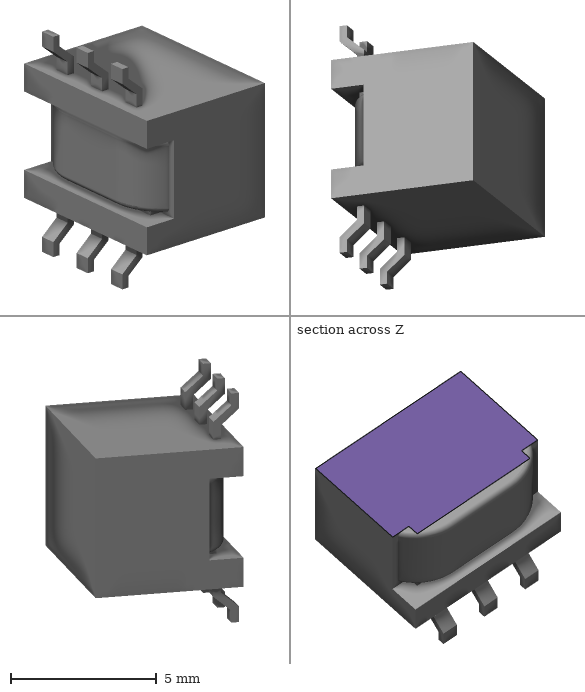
import cadquery as cq
import math

total_height = 8.2
total_depth = 5.4
body_width = 6.6
body_height = 5.0
core_depth = 4.05
flange_depth = 1.205
flange_thickness = 1.04

winding_width = 6.085
winding_flat_width = 2.69
winding_height = 2.69
winding_depth = 0.95
winding_edge_radius = 0.2

tube_width = 5.13
tube_depth = 0.44

pin_count = 3
pin_pitch = 1.85
pin_width = 0.61
pin_thickness = 0.27
pin_setback = 0.44
root_inner_bend = 0.49
root_outer_bend = 0.63
foot_outer_bend = 1.04
foot_inner_bend = 1.17

back_y = total_depth / 2
face_y = back_y - core_depth
foot_front_y = back_y - total_depth
pin_length = (total_height - body_height) / 2
overlap = 0.41
arc_sweep = math.radians(66)


def box_in_front(width, depth, height):
    """Box centred on X and Z, standing out of the core face toward -Y."""
    return cq.Workplane("XY").box(width, depth + overlap, height).translate(
        (0, face_y + (overlap - depth) / 2, 0)
    )


def make_core():
    return cq.Workplane("XY").box(body_width, core_depth, body_height).translate(
        (0, back_y - core_depth / 2, 0)
    )


def make_flange(side):
    center_z = side * (body_height - flange_thickness) / 2
    return box_in_front(body_width, flange_depth, flange_thickness).translate((0, 0, center_z))


def make_winding():
    """Each side arc is tangent to the flat front and meets the core face at full width."""
    half_flat = winding_flat_width / 2
    bulge = (winding_width - winding_flat_width) / 2
    arc_radius = (bulge**2 + winding_depth**2) / (2 * winding_depth)
    front_y = face_y - winding_depth
    end_x = half_flat + arc_radius * math.sin(arc_sweep)
    end_y = front_y + arc_radius * (1 - math.cos(arc_sweep))
    mid_x = half_flat + arc_radius * math.sin(arc_sweep / 2)
    mid_y = front_y + arc_radius * (1 - math.cos(arc_sweep / 2))
    return (
        cq.Workplane("XY")
        .moveTo(-half_flat, front_y)
        .lineTo(half_flat, front_y)
        .threePointArc((mid_x, mid_y), (end_x, end_y))
        .lineTo(-end_x, end_y)
        .threePointArc((-mid_x, mid_y), (-half_flat, front_y))
        .close()
        .extrude(winding_height / 2, both=True)
        .faces("|Z")
        .edges("not >Y")
        .fillet(winding_edge_radius)
    )


def make_upper_pin(x):
    root_back_y = face_y - pin_setback
    root_front_y = root_back_y - pin_thickness
    foot_back_y = foot_front_y + pin_thickness
    base_z = body_height / 2
    profile = [
        (root_back_y, base_z - overlap),
        (root_back_y, base_z + root_outer_bend),
        (foot_back_y, base_z + foot_inner_bend),
        (foot_back_y, base_z + pin_length),
        (foot_front_y, base_z + pin_length),
        (foot_front_y, base_z + foot_outer_bend),
        (root_front_y, base_z + root_inner_bend),
        (root_front_y, base_z - overlap),
    ]
    pin = cq.Workplane("YZ").polyline(profile).close().extrude(pin_width / 2, both=True)
    return pin.translate((x, 0, 0))


result = make_core()
result = result.union(box_in_front(tube_width, tube_depth, body_height - flange_thickness))
result = result.union(make_winding())
for side in (-1, 1):
    result = result.union(make_flange(side))
for index in range(pin_count):
    upper_pin = make_upper_pin((index - (pin_count - 1) / 2) * pin_pitch)
    result = result.union(upper_pin).union(upper_pin.mirror("XY"))